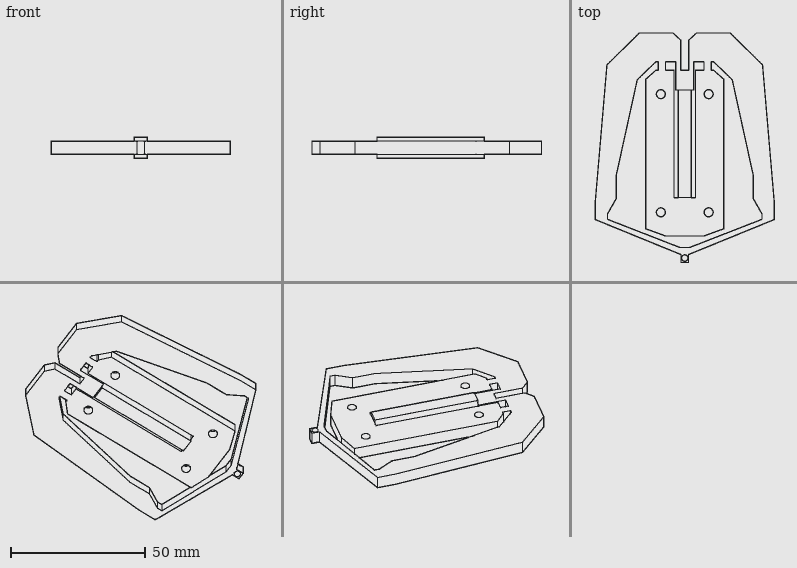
import cadquery as cq


overall_length = 85.7
frame_width = 66.8
frame_half_width = frame_width / 2
frame_thickness = 5.0

head_half_width = 16.9
shoulder_half_width = 29.05
shoulder_y = 73.7
arm_base_y = 23.0
arm_end_y = 16.0
lug_width = 2.9
lug_root_y = 3.0

entry_width = 2.9
entry_floor_y = 71.7
entry_chamfer_x = 3.0
entry_chamfer_y = 2.7

window_top_y = 74.8
window_top_half_width = 10.8
window_shoulder_half_width = 17.65
window_shoulder_y = 68.2
window_waist_half_width = 25.45
window_waist_top_y = 32.7
window_waist_bottom_y = 24.0
window_corner_half_width = 28.8
window_corner_top_y = 18.1
window_corner_bottom_y = 16.2
window_floor_half_width = 1.7
window_floor_y = 5.65

plate_half_width = 14.6
plate_top_y = entry_floor_y
plate_top_half_width = window_top_half_width
plate_shoulder_y = 68.4
plate_heel_y = 12.6
plate_bottom_half_width = 7.0
plate_bottom_y = 9.85
channel_half_width = 3.9
channel_floor_y = 24.25
flexure_inner_x = 7.1
flexure_outer_x = 9.9

tongue_half_width = 3.4
tongue_end_y = 64.4

mount_hole_diameter = 3.25
mount_hole_x = 8.9
mount_hole_ys = (18.8, 62.8)
lug_hole_diameter = 2.3
lug_hole_y = 1.7

bar_width = 5.0
bar_height = 8.0


def symmetric_prism(right_half):
    """Extrude a closed outline given by its +X half, mirrored about X = 0."""
    left_half = [(-x, y) for x, y in reversed(right_half)]
    outline = cq.Workplane("XY").polyline(right_half + left_half).close()
    return outline.extrude(frame_thickness / 2, both=True)


def box_between(x_min, x_max, y_min, y_max, height):
    """Box between the given X and Y limits, centred on Z = 0."""
    box = cq.Workplane("XY").box(x_max - x_min, y_max - y_min, height)
    return box.translate(((x_min + x_max) / 2, (y_min + y_max) / 2, 0))


def hole_cutter(diameter, points):
    """Cylinders through the frame thickness at the given points."""
    circles = cq.Workplane("XY").pushPoints(points).circle(diameter / 2)
    return circles.extrude(frame_thickness, both=True)


def make_outer_blank():
    """Solid outer shape with the entry slot and the lug."""
    return symmetric_prism([
        (lug_width / 2, 0),
        (lug_width / 2, lug_root_y),
        (frame_half_width, arm_end_y),
        (frame_half_width, arm_base_y),
        (shoulder_half_width, shoulder_y),
        (head_half_width, overall_length),
        (entry_width / 2 + entry_chamfer_x, overall_length),
        (entry_width / 2, overall_length - entry_chamfer_y),
        (entry_width / 2, entry_floor_y),
    ])


def make_window():
    """Opening inside the arms, passing around the tongue."""
    return symmetric_prism([
        (window_floor_half_width, window_floor_y),
        (window_corner_half_width, window_corner_bottom_y),
        (window_corner_half_width, window_corner_top_y),
        (window_waist_half_width, window_waist_bottom_y),
        (window_waist_half_width, window_waist_top_y),
        (window_shoulder_half_width, window_shoulder_y),
        (window_top_half_width, window_top_y),
        (tongue_half_width, window_top_y),
        (tongue_half_width, tongue_end_y),
    ])


def make_centre_plate():
    """Plate with a channel open toward the head."""
    return symmetric_prism([
        (plate_bottom_half_width, plate_bottom_y),
        (plate_half_width, plate_heel_y),
        (plate_half_width, plate_shoulder_y),
        (plate_top_half_width, plate_top_y),
        (channel_half_width, plate_top_y),
        (channel_half_width, channel_floor_y),
    ])


def make_frame():
    """Arms, head, tongue, flexures and centre plate as one solid."""
    frame = make_outer_blank().cut(make_window()).union(make_centre_plate())
    for x_min, x_max in (
        (flexure_inner_x, flexure_outer_x),
        (-flexure_outer_x, -flexure_inner_x),
    ):
        frame = frame.union(box_between(x_min, x_max, plate_top_y, window_top_y, frame_thickness))
    mount_points = [(side * mount_hole_x, y) for side in (-1, 1) for y in mount_hole_ys]
    frame = frame.cut(hole_cutter(mount_hole_diameter, mount_points))
    return frame.cut(hole_cutter(lug_hole_diameter, [(0, lug_hole_y)]))


def make_bar():
    """Rectangular bar standing proud of both faces of the frame."""
    return box_between(-bar_width / 2, bar_width / 2, channel_floor_y, tongue_end_y, bar_height)


frame = make_frame()
bar = make_bar()

result = cq.Compound.makeCompound([frame.val(), bar.val()])